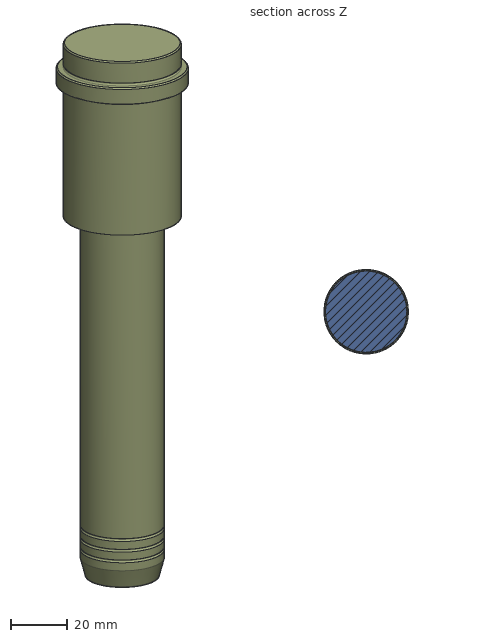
import cadquery as cq
import math

total_length = 200.0
pillar_radius = 15.0
sleeve_radius = 21.0
sleeve_length = 65.0
top_edge_chamfer = 0.5

collar_radius = 23.5
collar_height = 6.0
collar_top_depth = 9.0
collar_edge_chamfer = 0.5

groove_radius = 0.5

neck_length = 1.0
neck_depth = 0.5

groove_count = 3
groove_pitch = 4.0
lowest_groove_height = 10.5

lead_in_length = 7.0
lead_in_angle = 15.0
tip_radius = pillar_radius - lead_in_length * math.tan(math.radians(lead_in_angle))
tip_edge_round = 0.5

sleeve_bottom = total_length - sleeve_length
collar_top = total_length - collar_top_depth
collar_bottom = collar_top - collar_height


def cylinder(radius, bottom, height):
    """Solid cylinder on the Z axis."""
    return cq.Workplane("XY").workplane(offset=bottom).circle(radius).extrude(height)


def neck_cut():
    """Ring that narrows the pillar just below the sleeve."""
    bottom = sleeve_bottom - neck_length
    outer = cylinder(sleeve_radius, bottom, neck_length)
    return outer.cut(cylinder(pillar_radius - neck_depth, bottom, neck_length))


def round_groove(wall_radius, middle_height):
    """Torus centred on a cylinder wall, which cuts a half-round groove into it."""
    return cq.Workplane(cq.Solid.makeTorus(wall_radius, groove_radius, cq.Vector(0, 0, middle_height)))


def lead_in():
    """Lower end of the pillar, a cone narrowing to a rounded tip."""
    profile = (
        cq.Workplane("XZ")
        .lineTo(tip_radius, 0)
        .lineTo(pillar_radius, lead_in_length)
        .lineTo(0, lead_in_length)
        .close()
    )
    solid = profile.revolve(360, (0, 0, 0), (0, 1, 0))
    return solid.faces("<Z").edges().fillet(tip_edge_round)


def pillar():
    """Guide pillar with its neck, grooves and lead-in."""
    body = cylinder(pillar_radius, lead_in_length, sleeve_bottom - lead_in_length)
    body = body.cut(neck_cut())
    for index in range(groove_count):
        body = body.cut(round_groove(pillar_radius, lowest_groove_height + index * groove_pitch))
    return body.union(lead_in())


def sleeve():
    """Sleeve with its collar and the grooves beside it."""
    body = cylinder(sleeve_radius, sleeve_bottom, sleeve_length)
    body = body.faces(">Z").edges().chamfer(top_edge_chamfer)
    for groove_middle in (collar_top + groove_radius, collar_bottom - groove_radius):
        body = body.cut(round_groove(sleeve_radius, groove_middle))
    collar = cylinder(collar_radius, collar_bottom, collar_height)
    collar = collar.faces(">Z").edges().chamfer(collar_edge_chamfer)
    return body.union(collar)


result = pillar().union(sleeve())